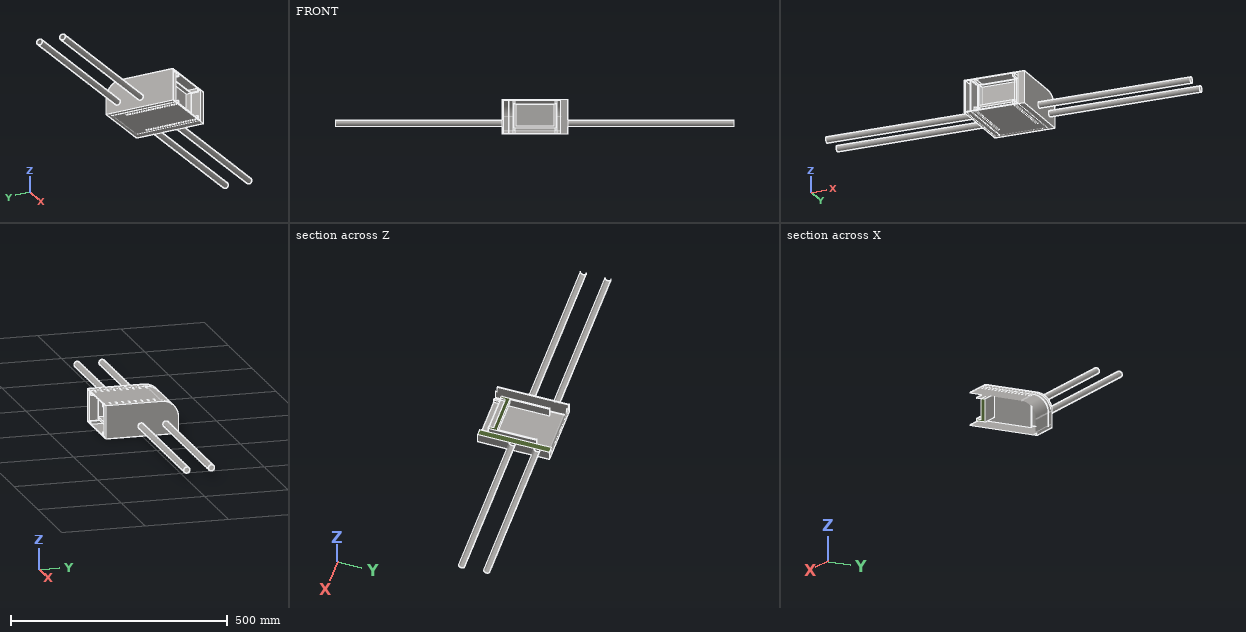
import cadquery as cq

housing_width = 152.0
housing_depth = 175.0
housing_height = 80.0
housing_left = 385.0
back_top_radius = 40.0
shell = 2.0
side_wall = 17.0
inner_bottom_radius = 6.0

pocket_wall = 4.0
pocket_width = 11.0

frame_clearance = 8.0
plate_front = 18.0
frame_back = housing_depth - back_top_radius
frame_plate = 5.0
rail_height = 7.0
panel_front = 17.0
panel_bottom = 14.0
panel_top = 70.0
panel_thickness = 23.0
panel_overlap = 2.0
recess_depth = 12.0
recess_side_rim = 5.0
recess_bottom_rim = 5.5
recess_top_rim = 2.0

total_length = 920.0
tube_outer_diameter = 16.0
tube_bore_diameter = 14.0
tube_height = 25.0
back_tube_y = 144.0
front_tube_y = 85.0
back_tube_right_end = 917.0

housing_right = housing_left + housing_width
cavity_left = housing_left + side_wall
cavity_right = housing_right - side_wall
ceiling = housing_height - shell

TUBES = [
    (0, housing_left, back_tube_y),
    (0, housing_left, front_tube_y),
    (housing_right, back_tube_right_end, back_tube_y),
    (housing_right, total_length, front_tube_y),
]


def box(x0, x1, y0, y1, z0, z1):
    """Axis-aligned block between two opposite corners."""
    return cq.Workplane("XY").box(x1 - x0, y1 - y0, z1 - z0, centered=False).translate((x0, y0, z0))


def make_inner_space(x0, x1):
    """Space open at the front, one shell thickness inside the housing profile."""
    space = box(x0, x1, 0, housing_depth - shell, shell, ceiling)
    space = space.edges("|X and >Y and >Z").fillet(back_top_radius - shell)
    return space.edges("|X and >Y and <Z").fillet(inner_bottom_radius)


def make_housing():
    """Block with a rounded back top edge, a main cavity and a narrow pocket beside it."""
    block = box(housing_left, housing_right, 0, housing_depth, 0, housing_height)
    block = block.edges("|X and >Y and >Z").fillet(back_top_radius)
    pocket_left = housing_left + pocket_wall
    main_cavity = make_inner_space(cavity_left, cavity_right)
    side_pocket = make_inner_space(pocket_left, pocket_left + pocket_width)
    return block.cut(main_cavity).cut(side_pocket)


def make_side_plate(x):
    """Plate from floor to ceiling, with a low rail to the front at its foot and its head."""
    plate = box(x, x + frame_plate, 0, frame_back, shell, ceiling)
    notch = box(x, x + frame_plate, 0, plate_front, shell + rail_height, ceiling - rail_height)
    return plate.cut(notch)


def make_display_frame():
    """Two side plates joined by a recessed panel that stands slightly proud of them."""
    left = cavity_left + frame_clearance
    right = cavity_right - frame_clearance
    panel_left = left + frame_plate - panel_overlap
    panel_right = right - frame_plate + panel_overlap
    panel = box(
        panel_left, panel_right, panel_front, panel_front + panel_thickness, panel_bottom, panel_top
    )
    recess = box(
        panel_left + recess_side_rim,
        panel_right - recess_side_rim,
        panel_front,
        panel_front + recess_depth,
        panel_bottom + recess_bottom_rim,
        panel_top - recess_top_rim,
    )
    frame = panel.cut(recess)
    for plate_x in (left, right - frame_plate):
        frame = frame.union(make_side_plate(plate_x))
    return frame


def make_tube(x0, x1, y):
    """Straight tube along X, closed at its housing end by the housing face."""
    profile = cq.Workplane("YZ", origin=(x0, y, tube_height))
    return profile.circle(tube_outer_diameter / 2).circle(tube_bore_diameter / 2).extrude(x1 - x0)


housing = make_housing()
display_frame = make_display_frame()
tubes = [make_tube(*tube) for tube in TUBES]

result = cq.Compound.makeCompound(
    [housing.val(), display_frame.val(), *[tube.val() for tube in tubes]]
)